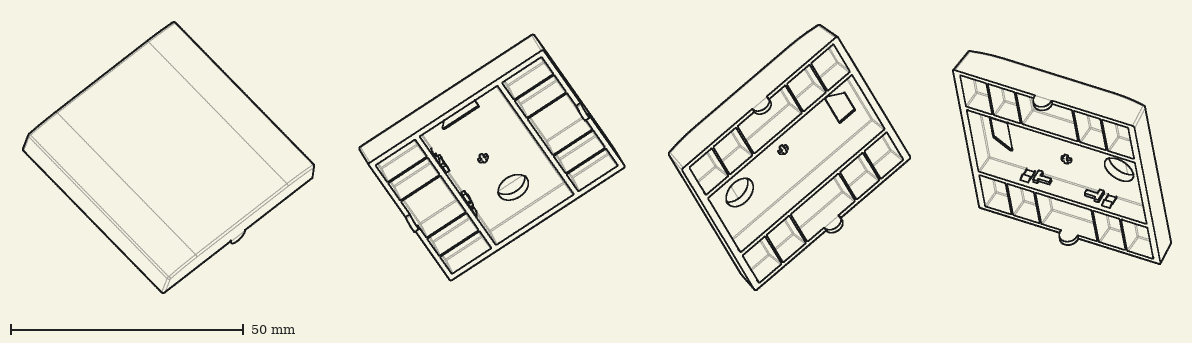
import cadquery as cq
import math

TILT_Y = 33.25
TILT_X = 20.0

LENGTH = 44.95
WIDTH = 44.55
CENTRE_HEIGHT = 7.15
EDGE_HEIGHT = 6.3
FLAT_HALF_WIDTH = 13.5
SIDE_DRAFT = 5.5
CORNER_RADIUS = 0.5
RIM_RADIUS = 0.49

POCKET_DEPTH = 4.3
POCKET_DRAFT = 4.0
POCKET_FILLET = 0.25
END_WALL = 1.15
SIDE_WALL = 1.65
CROSS_WALL = 1.15
CENTRE_POCKET_LENGTH = 20.0
RIB = 0.4
RIB_CENTRES = (-13.98, -7.05, 7.05, 13.98)

TONGUE_WIDTH = 4.1
TONGUE_REACH = 2.45

GUIDE_RISE = 0.8
GUIDE_BAR_OUTER = 8.0
GUIDE_BAR_INNER = 7.0
GUIDE_BAR_START = 1.6
GUIDE_ARM_INNER = 4.35
GUIDE_ARM_START = 2.2
GUIDE_ARM_END = 3.2

SNAP_CENTRE = 10.0
SNAP_WIDTH = 2.0
SNAP_START = 1.1
SNAP_END = 2.35
SNAP_ANGLE = 25.0
SNAP_RECESS_X = 9.95

WINDOW_Y = -13.0
WINDOW_RADIUS = 3.5
WINDOW_SKIN = 0.8
SLANT_INNER_Y = 13.8
SLANT_OUTER_Y = 18.2
SLANT_START_X = -4.0
SLANT_OUTER_X = 2.4
SLANT_INNER_X = 5.6
SLANT_DEPTH = 0.4
SLANT_CORNER = 0.5
PIN_X = 1.7
PIN_RADIUS = 1.15
PIN_ARM = 0.8
PIN_HEIGHT = 0.75
PIN_ROUNDING = 0.4

HALF_LENGTH = LENGTH / 2
HALF_WIDTH = WIDTH / 2
CENTRE_HALF = CENTRE_POCKET_LENGTH / 2
DRAFT_SLOPE = math.tan(math.radians(POCKET_DRAFT))


def box(x_range, y_range, z_range):
    """Axis-aligned block between the given limits."""
    (x0, x1), (y0, y1), (z0, z1) = x_range, y_range, z_range
    return cq.Workplane("XY").box(x1 - x0, y1 - y0, z1 - z0, centered=False).translate((x0, y0, z0))


def crowned_prism(drop):
    """Cover cross-section extruded along x, with its crown lowered by drop."""
    edge_y = HALF_WIDTH - EDGE_HEIGHT * math.tan(math.radians(SIDE_DRAFT))
    fall = CENTRE_HEIGHT - EDGE_HEIGHT
    run = edge_y - FLAT_HALF_WIDTH
    radius = (run**2 + fall**2) / (2 * fall)
    half_angle = math.asin(run / radius) / 2
    mid_y = FLAT_HALF_WIDTH + radius * math.sin(half_angle)
    mid_z = CENTRE_HEIGHT - radius * (1 - math.cos(half_angle))
    return (
        cq.Workplane("YZ")
        .moveTo(-HALF_WIDTH, -drop)
        .lineTo(HALF_WIDTH, -drop)
        .lineTo(edge_y, EDGE_HEIGHT - drop)
        .threePointArc((mid_y, mid_z - drop), (FLAT_HALF_WIDTH, CENTRE_HEIGHT - drop))
        .lineTo(-FLAT_HALF_WIDTH, CENTRE_HEIGHT - drop)
        .threePointArc((-mid_y, mid_z - drop), (-edge_y, EDGE_HEIGHT - drop))
        .close()
        .extrude(HALF_LENGTH, both=True)
    )


def cover_body():
    """Solid cover with rounded corners and a rounded rim around the crown."""
    low = EDGE_HEIGHT / 4
    high = EDGE_HEIGHT * 3 / 4
    corners = cq.selectors.BoxSelector((-LENGTH, -WIDTH, low), (LENGTH, WIDTH, high))
    sides = cq.selectors.BoxSelector((-1, -WIDTH, low), (1, WIDTH, high))
    crown = cq.selectors.BoxSelector((-LENGTH, -WIDTH, high), (LENGTH, WIDTH, LENGTH))
    crown_seams = cq.selectors.BoxSelector((-1, -WIDTH * 0.4, high), (1, WIDTH * 0.4, LENGTH))
    body = crowned_prism(0).edges(corners - sides).fillet(CORNER_RADIUS)
    return body.edges(crown - crown_seams).fillet(RIM_RADIUS)


def pocket(x0, x1, y0, y1):
    """Drafted pocket with rounded corners and floor, open at z = 0."""
    return (
        cq.Workplane("XY")
        .center((x0 + x1) / 2, (y0 + y1) / 2)
        .rect(x1 - x0, y1 - y0)
        .extrude(POCKET_DEPTH, taper=POCKET_DRAFT)
        .edges("not(<Z)")
        .fillet(POCKET_FILLET)
    )


def pockets():
    """Centre pocket and a row of five pockets on each side of it."""
    side_y = HALF_WIDTH - SIDE_WALL
    row_start = CENTRE_HALF + CROSS_WALL
    row_end = HALF_LENGTH - END_WALL
    cells = pocket(-CENTRE_HALF, CENTRE_HALF, -side_y, side_y)
    starts = [-side_y] + [y + RIB / 2 for y in RIB_CENTRES]
    ends = [y - RIB / 2 for y in RIB_CENTRES] + [side_y]
    for y0, y1 in zip(starts, ends):
        cells = cells.union(pocket(row_start, row_end, y0, y1))
        cells = cells.union(pocket(-row_end, -row_start, y0, y1))
    return cells


def tongue(root_x):
    """Round-ended tongue below the back, both faces leaning towards +x from root_x at z = 0."""
    radius = TONGUE_WIDTH / 2
    tip_x = root_x + DRAFT_SLOPE * TONGUE_REACH
    outline = (
        cq.Workplane("YZ", origin=(root_x, 0, 0))
        .moveTo(-radius, 0)
        .lineTo(-radius, radius - TONGUE_REACH)
        .threePointArc((0, -TONGUE_REACH), (radius, radius - TONGUE_REACH))
        .lineTo(radius, 0)
        .close()
        .extrude(2 * END_WALL)
    )
    slab = (
        cq.Workplane("XZ")
        .moveTo(root_x, 0)
        .lineTo(tip_x, -TONGUE_REACH)
        .lineTo(tip_x + END_WALL, -TONGUE_REACH)
        .lineTo(root_x + END_WALL, 0)
        .close()
        .extrude(radius, both=True)
    )
    return outline.intersect(slab)


def guide(side):
    """L-shaped guide on the cross wall, on the +y (side = 1) or -y (side = -1) half."""
    wall_x = CENTRE_HALF
    bar_y = sorted((side * GUIDE_BAR_INNER, side * GUIDE_BAR_OUTER))
    arm_y = sorted((side * GUIDE_ARM_INNER, side * GUIDE_BAR_INNER))
    front = wall_x - GUIDE_RISE

    def slab(y_range, z_start, z_end):
        (y0, y1) = y_range
        return (
            cq.Workplane("XZ", origin=(0, y1, 0))
            .moveTo(front - DRAFT_SLOPE * z_start, z_start)
            .lineTo(front - DRAFT_SLOPE * z_end, z_end)
            .lineTo(wall_x + CROSS_WALL / 2, z_end)
            .lineTo(wall_x + CROSS_WALL / 2, z_start)
            .close()
            .extrude(y1 - y0)
        )

    bar = slab(bar_y, GUIDE_BAR_START, POCKET_DEPTH + POCKET_FILLET)
    return bar.union(slab(arm_y, GUIDE_ARM_START, GUIDE_ARM_END))


def snap_wedge(y):
    """Ramp that rises from the cross wall towards the pocket floor."""
    wall_x = CENTRE_HALF - DRAFT_SLOPE * SNAP_START
    tip_x = wall_x - (SNAP_END - SNAP_START) * math.tan(math.radians(SNAP_ANGLE))
    return (
        cq.Workplane("XZ", origin=(0, y + SNAP_WIDTH / 2, 0))
        .moveTo(wall_x, SNAP_START)
        .lineTo(tip_x, SNAP_END)
        .lineTo(CENTRE_HALF + CROSS_WALL / 2, SNAP_END)
        .lineTo(CENTRE_HALF + CROSS_WALL / 2, SNAP_START)
        .close()
        .extrude(SNAP_WIDTH)
    )


def snap_recess(y):
    """Undrafted notch in the cross wall between a snap wedge and the floor."""
    return box(
        (CENTRE_HALF - 1, SNAP_RECESS_X),
        (y - SNAP_WIDTH / 2, y + SNAP_WIDTH / 2),
        (SNAP_END, POCKET_DEPTH),
    )


def window_recess():
    """Round recess whose floor follows the crown at a constant skin thickness."""
    cylinder = cq.Workplane("XY").center(0, WINDOW_Y).circle(WINDOW_RADIUS).extrude(CENTRE_HEIGHT)
    cylinder = cylinder.intersect(crowned_prism(WINDOW_SKIN))
    return cylinder.cut(box((-LENGTH, LENGTH), (-WIDTH, WIDTH), (0, POCKET_DEPTH - POCKET_FILLET)))


def slanted_recess():
    """Shallow recess with one slanted end in the centre pocket floor."""
    return (
        cq.Workplane("XY", origin=(0, 0, POCKET_DEPTH))
        .moveTo(SLANT_START_X, SLANT_INNER_Y)
        .lineTo(SLANT_INNER_X, SLANT_INNER_Y)
        .lineTo(SLANT_OUTER_X, SLANT_OUTER_Y)
        .lineTo(SLANT_START_X, SLANT_OUTER_Y)
        .close()
        .extrude(SLANT_DEPTH)
        .edges("|Z")
        .edges("<Y")
        .edges(">X")
        .fillet(SLANT_CORNER)
    )


def cross_pin():
    """Plus-shaped pin standing on the centre pocket floor."""
    tip_z = POCKET_DEPTH - PIN_HEIGHT
    envelope = (
        cq.Workplane("XY", origin=(PIN_X, 0, tip_z))
        .circle(PIN_RADIUS)
        .extrude(PIN_HEIGHT)
        .faces("<Z")
        .edges()
        .fillet(PIN_ROUNDING)
    )
    reach = (-PIN_RADIUS, PIN_RADIUS)
    arm = (-PIN_ARM / 2, PIN_ARM / 2)
    depth = (tip_z, POCKET_DEPTH)
    plus = box(reach, arm, depth).union(box(arm, reach, depth)).translate((PIN_X, 0, 0))
    return plus.intersect(envelope)


def cover():
    """Finished cover in its local frame."""
    part = cover_body().cut(pockets()).cut(window_recess()).cut(slanted_recess())
    part = part.union(cross_pin())
    part = part.union(tongue(HALF_LENGTH - END_WALL)).union(tongue(-HALF_LENGTH))
    for side in (-1, 1):
        snap_y = side * SNAP_CENTRE
        part = part.cut(snap_recess(snap_y)).union(snap_wedge(snap_y)).union(guide(side))
    return part


result = cover().rotate((0, 0, 0), (0, 1, 0), TILT_Y).rotate((0, 0, 0), (1, 0, 0), TILT_X)